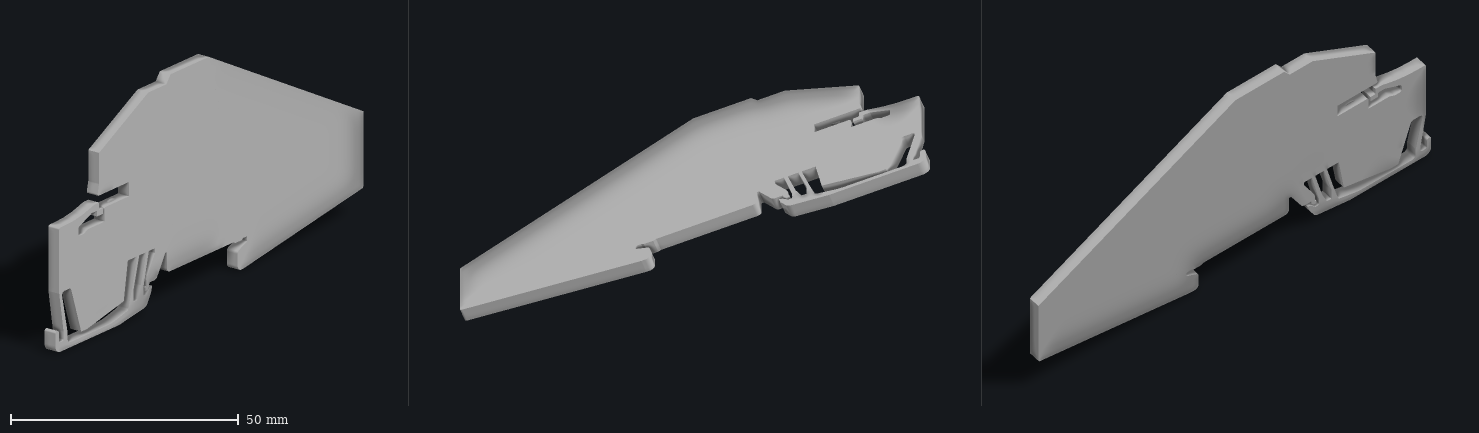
import cadquery as cq
import math


length = 110.24
height = 53.31
thickness = 3.0

end_wall_top = 24.1
end_wall_bottom = 6.2
roof_start = 55.3
roof_end = 69.0
step_run = 1.5
shoulder_level = height - 1.9
shoulder_end = 77.0
nose_u = 94.6
nose_top = 42.5
nose_bevel_top = 35.2
nose_lip = 0.65

slot_end = 83.9
slot_roof = 32.5
slot_floor = 29.15
slot_mouth = 92.6
mouth_radius = 0.4

recess_floor = 25.8
recess_dip = 0.65
recess_end = 102.0
latch_tip = 93.2
latch_tip_bottom = 27.8
latch_root = 95.3
latch_top = 30.85
latch_flat_end = 96.4
latch_bend = 102.0
right_wall = 108.85

rail_level = 7.2
rail_pad_depth = 0.35
hook_throat = 41.6
hook_tip = 45.0
hook_throat_bottom = 6.0
seat_end = 70.3
notch_top = 12.0
finger_bottom = 6.75
finger_root = 74.6
finger_neck = 77.7
finger_tip = 78.05
finger_tip_bottom = 5.2

spring_root = 14.2
leaf_bend = 7.0
leg_root = 13.7
leg_bend = 4.4
foot_tip = 75.6
foot_tip_top = 5.7
foot_flat_start = 87.5
foot_heel_height = 1.4
heel_notch_floor = 4.2
foot_floor = 1.2
cup_left = 107.3
cup_right = 109.0
cup_floor = 2.25
cup_lip = 5.2
leaf_gap_floor = 3.9
leaf_gap_right = 82.2
foot_opening_right = 105.8
tongue_bottom = 2.5
leg_slot_top = 13.85

tiny_round = 0.2
fine_round = 0.3
small_round = 0.4
edge_round = 0.5
medium_round = 0.6
large_round = 0.8
wide_round = 1.0
hook_tip_round = 0.9
hook_round = 1.2
foot_round = 1.8
foot_floor_blend = 13
latch_crest_blend = 4
latch_back_blend = 31

strip_width = 0.6
strip_offset = 0.1
strip_depth = 1.0
bump_height = 0.42
roof_bump_width = 2.0
floor_bump_width = 2.7
bump_center = 88.5


def rounded_outline(corners):
    """Closed wire through corners (u, v) or (u, v, radius); a radius rounds that corner."""
    wire = None
    count = len(corners)
    for i in range(count):
        u, v = corners[i][:2]
        before = corners[i - 1]
        after = corners[(i + 1) % count]
        radius = corners[i][2] if len(corners[i]) > 2 else 0
        points = [(u, v)]
        if radius:
            in_angle = math.atan2(before[1] - v, before[0] - u)
            out_angle = math.atan2(after[1] - v, after[0] - u)
            half_turn = math.remainder(out_angle - in_angle, 2 * math.pi) / 2
            middle = in_angle + half_turn
            setback = radius / math.tan(abs(half_turn))
            depth = radius / math.sin(abs(half_turn)) - radius
            points = [
                (u + setback * math.cos(in_angle), v + setback * math.sin(in_angle)),
                (u + depth * math.cos(middle), v + depth * math.sin(middle)),
                (u + setback * math.cos(out_angle), v + setback * math.sin(out_angle)),
            ]
        wire = profile_plane().moveTo(*points[0]) if wire is None else wire.lineTo(*points[0])
        if radius:
            wire = wire.threePointArc(points[1], points[2])
    return wire.close()


def profile_plane():
    """Workplane with u toward -Y, v toward +Z and its normal toward -X, midway through the plate."""
    plane = cq.Plane(origin=(0, length / 2, -height / 2), xDir=(0, -1, 0), normal=(-1, 0, 0))
    return cq.Workplane(plane)


def plate(corners, width):
    """Prism of the given outline, centred on the middle of the plate thickness."""
    return rounded_outline(corners).extrude(width / 2, both=True)


roof = [
    (0, end_wall_bottom, medium_round),
    (0, end_wall_top),
    (roof_start, height),
    (roof_end, height),
    (roof_end + step_run, shoulder_level),
    (shoulder_end, shoulder_level),
    (nose_u, nose_top),
    (nose_u, nose_bevel_top, wide_round),
    (nose_u + nose_lip, slot_roof, small_round),
]
plug_slot = [
    (slot_end, slot_roof),
    (slot_end, slot_floor),
    (slot_mouth, slot_floor, mouth_radius),
]
latch = [
    (slot_mouth, recess_floor),
    (98.6, recess_floor),
    (100.0, recess_floor - recess_dip),
    (recess_end, recess_floor - recess_dip, medium_round),
    (recess_end, 27.2, medium_round),
    (97.2, slot_floor),
    (latch_root, slot_floor, small_round),
    (latch_root, latch_tip_bottom),
    (latch_tip, latch_tip_bottom),
    (latch_tip, slot_floor),
    (nose_u, slot_floor, fine_round),
    (nose_u, latch_top),
    (latch_flat_end, latch_top, latch_crest_blend),
    (latch_bend, slot_floor, latch_back_blend),
    (right_wall, slot_floor, edge_round),
]
spring_leg_and_foot = [
    (right_wall, leg_root),
    (cup_left, leg_bend),
    (cup_left, cup_floor, small_round),
    (cup_right, cup_floor, edge_round),
    (cup_right, cup_lip, medium_round),
    (length, cup_lip, edge_round),
    (length, 0, foot_round),
    (foot_flat_start, 0),
    (77.7, foot_heel_height, foot_round),
    (76.0, 4.2),
    (foot_tip, foot_tip_top),
    (76.4, 5.5),
    (77.8, heel_notch_floor, tiny_round),
    (78.8, heel_notch_floor, edge_round),
    (78.75, 6.2),
    (76.8, spring_root),
]
rail_finger = [
    (finger_root, spring_root),
    (finger_root, 13.1),
    (77.4, 8.5),
    (finger_neck, 7.7),
    (finger_neck, 6.2),
    (finger_tip, 6.0),
    (finger_tip, finger_tip_bottom),
    (77.3, finger_tip_bottom),
    (76.7, 5.9),
    (76.6, finger_bottom),
    (74.1, finger_bottom, hook_round),
    (70.9, notch_top, fine_round),
    (seat_end, notch_top, tiny_round),
]
rail_seat_and_hook = [
    (seat_end, rail_level, wide_round),
    (46.5, rail_level),
    (45.8, rail_level - rail_pad_depth),
    (43.6, rail_level - rail_pad_depth),
    (43.0, rail_level),
    (hook_throat, rail_level, small_round),
    (hook_throat, hook_throat_bottom),
    (hook_tip, 4.6, hook_tip_round),
    (hook_tip, 0, hook_round),
    (43.0, 0, hook_round),
]
housing_outline = (
    roof + plug_slot + latch + spring_leg_and_foot + rail_finger + rail_seat_and_hook
)

leaf_gap = [
    (77.7, spring_root),
    (80.2, spring_root),
    (leaf_gap_right, leaf_bend),
    (leaf_gap_right, leaf_gap_floor),
    (81.0, leaf_gap_floor, small_round),
    (79.6, leaf_bend),
]
foot_opening = [
    (81.0, spring_root),
    (84.3, spring_root, tiny_round),
    (85.75, 5.1),
    (98.9, tongue_bottom),
    (101.0, tongue_bottom),
    (104.7, leg_slot_top, large_round),
    (108.0, leg_slot_top, large_round),
    (105.9, 4.0),
    (foot_opening_right, foot_floor, wide_round),
    (90.0, foot_floor, foot_floor_blend),
    (84.2, 2.5, large_round),
    (82.9, leaf_bend),
]


def contact_strip(face_level, into_wall, bump_width):
    """Strip flush with a slot wall, with a round bump; into_wall is +1 for the roof, -1 for the floor."""
    back = face_level + into_wall * strip_depth
    crest = face_level - into_wall * bump_height
    bump_start = bump_center - bump_width / 2
    bump_end = bump_center + bump_width / 2
    strip_end = slot_mouth - mouth_radius
    outline = (
        profile_plane()
        .moveTo(slot_end, back)
        .lineTo(slot_end, face_level)
        .lineTo(bump_start, face_level)
        .threePointArc((bump_center, crest), (bump_end, face_level))
        .lineTo(strip_end, face_level)
        .lineTo(strip_end, back)
        .close()
    )
    return outline.extrude(strip_width / 2, both=True).translate((strip_offset, 0, 0))


roof_strip = contact_strip(slot_roof, 1, roof_bump_width)
floor_strip = contact_strip(slot_floor, -1, floor_bump_width)

housing = plate(housing_outline, thickness)
for opening in (leaf_gap, foot_opening):
    housing = housing.cut(plate(opening, thickness))
for strip in (roof_strip, floor_strip):
    housing = housing.cut(strip)

result = cq.Compound.makeCompound([housing.val(), roof_strip.val(), floor_strip.val()])